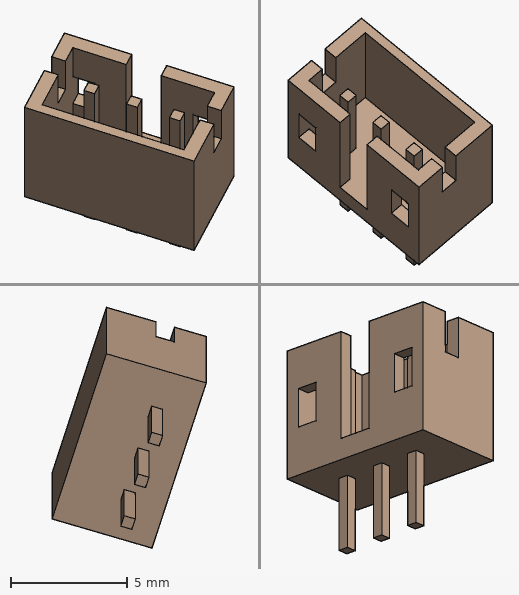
import cadquery as cq

width = 7.9
depth = 4.5
total_height = 9.4
pin_tail = 3.38
height = total_height - pin_tail
side_wall = 0.65
front_wall = 0.42
back_wall = 0.62
floor_thickness = 1.0

back_notch_width = 1.63
back_notch_depth = height - floor_thickness
side_notch_width = 0.83
side_notch_depth = 1.9
side_notch_setback = 1.44

window_width = 1.015
window_bottom = 2.26
window_top = 4.06

pin_size = 0.5
pin_pitch = 1.99
pin_count = 3
pin_top_drop = 0.93

back_y = depth / 2
notch_back_y = back_y - side_notch_setback


def block(size_x, size_y, z_bottom, z_top, center_x, center_y):
    """Upright box between two heights, centred on a point in plan."""
    box = cq.Workplane("XY").box(size_x, size_y, z_top - z_bottom, centered=(True, True, False))
    return box.translate((center_x, center_y, z_bottom))


housing = block(width, depth, 0, height, 0, 0)

cavity = block(
    width - 2 * side_wall,
    depth - front_wall - back_wall,
    floor_thickness,
    height,
    0,
    (front_wall - back_wall) / 2,
)

back_notch = block(
    back_notch_width, back_wall, height - back_notch_depth, height, 0, back_y - back_wall / 2
)

side_notches = block(
    width, side_notch_width, height - side_notch_depth, height, 0, notch_back_y - side_notch_width / 2
)

result = housing.cut(cavity).cut(back_notch).cut(side_notches)

window_x = width / 2 - side_wall - window_width / 2
for side in (-1, 1):
    window = block(
        window_width, back_wall, window_bottom, window_top, side * window_x, back_y - back_wall / 2
    )
    result = result.cut(window)

for index in range(pin_count):
    pin_x = (index - (pin_count - 1) / 2) * pin_pitch
    pin = block(
        pin_size, pin_size, -pin_tail, height - pin_top_drop, pin_x, notch_back_y - pin_size / 2
    )
    result = result.union(pin)